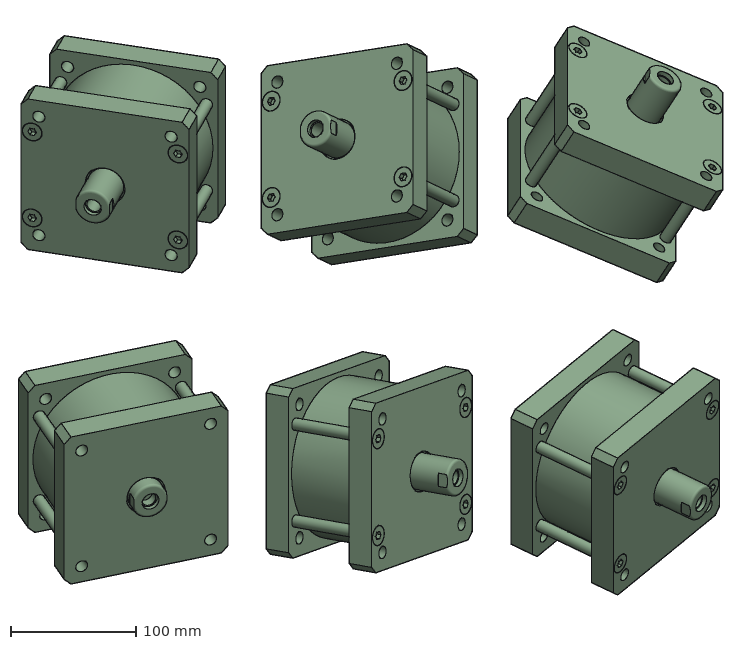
import cadquery as cq

LENGTH = 148.0

PLATE_SIDE = 140.0
PLATE_THICKNESS = 22.0
PLATE_CORNER_CHAMFER = 5.8
MOUNT_HOLE_DIAMETER = 10.0
MOUNT_HOLE_OFFSET = 55.0

BARREL_DIAMETER = 132.0

ROD_DIAMETER = 10.0
ROD_OFFSET_X = 60.7
ROD_OFFSET_Z = 40.0
COUNTERBORE_DIAMETER = 16.5
COUNTERBORE_DEPTH = 10.0
HEAD_DIAMETER = 16.0
SOCKET_CORNER_DIAMETER = 7.0
SOCKET_DEPTH = 5.0

SHAFT_DIAMETER = 30.0
FRONT_OVERHANG = 35.0
REAR_OVERHANG = 10.0
SHAFT_END_FILLET = 2.0
FLAT_WIDTH = 28.0
FLAT_LENGTH = 9.0

END_HOLE_DIAMETER = 11.8
END_HOLE_MOUTH_DIAMETER = 14.2
END_HOLE_MOUTH_DEPTH = 4.0
END_HOLE_DEPTH = 20.0
DRILL_TIP_DEPTH = 3.5

RECESS_DIAMETER = 33.0
RECESS_DEPTH = 2.0

FRONT_TIP = -LENGTH / 2
FRONT_FACE = FRONT_TIP + FRONT_OVERHANG
BARREL_FRONT = FRONT_FACE + PLATE_THICKNESS
REAR_TIP = LENGTH / 2
REAR_FACE = REAR_TIP - REAR_OVERHANG
BARREL_REAR = REAR_FACE - PLATE_THICKNESS

MOUNT_POINTS = [(x * MOUNT_HOLE_OFFSET, z * MOUNT_HOLE_OFFSET) for x in (-1, 1) for z in (-1, 1)]
ROD_POINTS = [(x * ROD_OFFSET_X, z * ROD_OFFSET_Z) for x in (-1, 1) for z in (-1, 1)]
AXIS_POINT = [(0, 0)]


def section_at(y):
    """Sketch plane across the axis: local x is X, local y is Z, and extrusion goes towards -Y."""
    return cq.Workplane("XZ", origin=(0, y, 0))


def rods(y_start, y_end, diameter, points=AXIS_POINT):
    """Round bars from y_start to the larger y_end, one at each (X, Z) point."""
    return section_at(y_end).pushPoints(points).circle(diameter / 2).extrude(y_end - y_start)


def make_plate(y_front):
    blank = section_at(y_front + PLATE_THICKNESS).rect(PLATE_SIDE, PLATE_SIDE).extrude(PLATE_THICKNESS)
    holes = rods(y_front, y_front + PLATE_THICKNESS, MOUNT_HOLE_DIAMETER, MOUNT_POINTS)
    return blank.edges("|Y").chamfer(PLATE_CORNER_CHAMFER).cut(holes)


def make_end_hole():
    """Cutter for the front blind hole: counterbored mouth, straight bore and conical drill tip."""
    mouth_radius = END_HOLE_MOUTH_DIAMETER / 2
    bore_radius = END_HOLE_DIAMETER / 2
    bore_start = FRONT_TIP + END_HOLE_MOUTH_DEPTH
    bore_end = FRONT_TIP + END_HOLE_DEPTH
    profile = (
        cq.Workplane("XY")
        .moveTo(0, FRONT_TIP)
        .lineTo(mouth_radius, FRONT_TIP)
        .lineTo(mouth_radius, bore_start)
        .lineTo(bore_radius, bore_start)
        .lineTo(bore_radius, bore_end)
        .lineTo(0, bore_end + DRILL_TIP_DEPTH)
        .close()
    )
    return profile.revolve(360, (0, 0, 0), (0, 1, 0))


def make_front_flats():
    """Cutter that leaves two wrench flats, facing -X and +X, on the front tip."""
    end_block = section_at(FRONT_TIP + FLAT_LENGTH).rect(SHAFT_DIAMETER, SHAFT_DIAMETER).extrude(FLAT_LENGTH)
    kept_core = section_at(FRONT_TIP + FLAT_LENGTH).rect(FLAT_WIDTH, SHAFT_DIAMETER).extrude(FLAT_LENGTH)
    return end_block.cut(kept_core)


def make_shaft():
    shaft = rods(FRONT_TIP, REAR_TIP, SHAFT_DIAMETER).faces("<Y or >Y").edges().fillet(SHAFT_END_FILLET)
    for cutter in (make_end_hole(), make_front_flats()):
        shaft = shaft.cut(cutter).cut(cutter.mirror("XZ"))
    return shaft


body = make_plate(FRONT_FACE).union(make_plate(BARREL_REAR))
body = body.union(rods(BARREL_FRONT, BARREL_REAR, BARREL_DIAMETER))

counterbore_floor = FRONT_FACE + COUNTERBORE_DEPTH
body = body.union(rods(BARREL_FRONT, BARREL_REAR, ROD_DIAMETER, ROD_POINTS))
body = body.cut(rods(FRONT_FACE, counterbore_floor, COUNTERBORE_DIAMETER, ROD_POINTS))
body = body.union(rods(FRONT_FACE, counterbore_floor, HEAD_DIAMETER, ROD_POINTS))
sockets = (
    section_at(FRONT_FACE + SOCKET_DEPTH)
    .pushPoints(ROD_POINTS)
    .polygon(6, SOCKET_CORNER_DIAMETER)
    .extrude(SOCKET_DEPTH)
)
body = body.cut(sockets)

body = body.cut(rods(FRONT_FACE, FRONT_FACE + RECESS_DEPTH, RECESS_DIAMETER))
body = body.cut(rods(REAR_FACE - RECESS_DEPTH, REAR_FACE, RECESS_DIAMETER))
result = body.union(make_shaft())